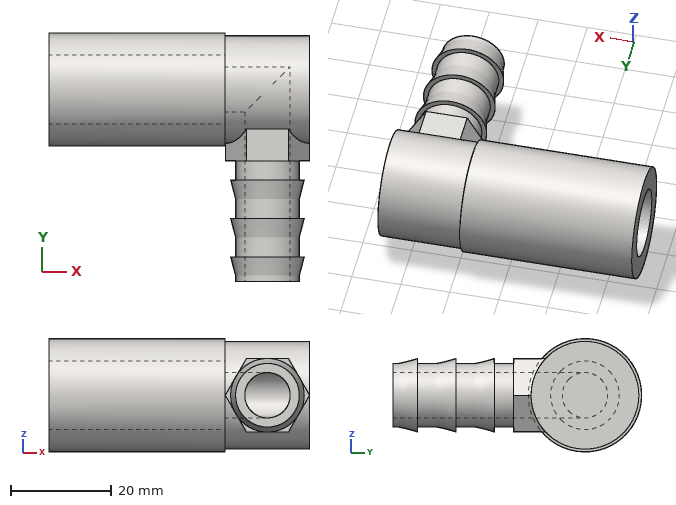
import cadquery as cq
import math


total_length = 52.0
barrel_diameter = 22.6
body_diameter = 21.5
body_length = 16.85
barrel_length = total_length - body_length
shoulder_x = -body_length / 2
barrel_end_x = shoulder_x - barrel_length

bore_diameter = 9.05
socket_diameter = 13.7
socket_depth = barrel_length

hex_across_flats = 14.55
hex_sides = 6
hex_across_corners = hex_across_flats / math.cos(math.pi / hex_sides)

total_depth = 49.6
spigot_reach = total_depth - barrel_diameter / 2
spigot_diameter = 12.7
barb_diameter = 14.65
barb_count = 3
barb_pitch = 7.65
barb_length = barb_pitch / 2
tip_length = 1.15
barbed_length = barb_count * barb_pitch
hex_reach = spigot_reach - tip_length - barbed_length


def cylinder_along_x(diameter, start_x, length):
    return cq.Workplane("YZ").workplane(offset=start_x).circle(diameter / 2).extrude(length)


def hose_spigot():
    """Barbed spigot revolved about the Y axis, from the origin to its tip."""
    spigot_radius = spigot_diameter / 2
    profile = cq.Workplane("XY").lineTo(spigot_radius, 0)
    for index in range(barb_count):
        barb_start = hex_reach + barb_length + index * barb_pitch
        profile = profile.lineTo(spigot_radius, -barb_start)
        profile = profile.lineTo(barb_diameter / 2, -barb_start)
        profile = profile.lineTo(spigot_radius, -(barb_start + barb_length))
    profile = profile.lineTo(spigot_radius, -spigot_reach).lineTo(0, -spigot_reach).close()
    return profile.revolve(360, (0, 0, 0), (0, 1, 0))


def hexagon():
    """Hexagonal root with flats facing up and down and corners along X."""
    return cq.Workplane("XZ").polygon(hex_sides, hex_across_corners).extrude(hex_reach)


def elbow_bore():
    """Two equal round bores meeting in a mitre at the origin."""
    radius = bore_diameter / 2
    barrel_bore = cylinder_along_x(bore_diameter, barrel_end_x, radius - barrel_end_x)
    spigot_bore = (
        cq.Workplane("XZ").workplane(offset=-radius).circle(radius).extrude(spigot_reach + radius)
    )
    span = 2 * total_length
    barrel_side = (
        cq.Workplane("XY").workplane(offset=-radius)
        .polyline([(-span, -span), (span, span), (-span, span)]).close()
        .extrude(bore_diameter)
    )
    return barrel_bore.intersect(barrel_side).union(spigot_bore.cut(barrel_side))


barrel = cylinder_along_x(barrel_diameter, barrel_end_x, barrel_length)
body = cylinder_along_x(body_diameter, shoulder_x, body_length)
socket = cylinder_along_x(socket_diameter, barrel_end_x, socket_depth)

result = barrel.union(body).union(hexagon()).union(hose_spigot())
result = result.cut(elbow_bore()).cut(socket)